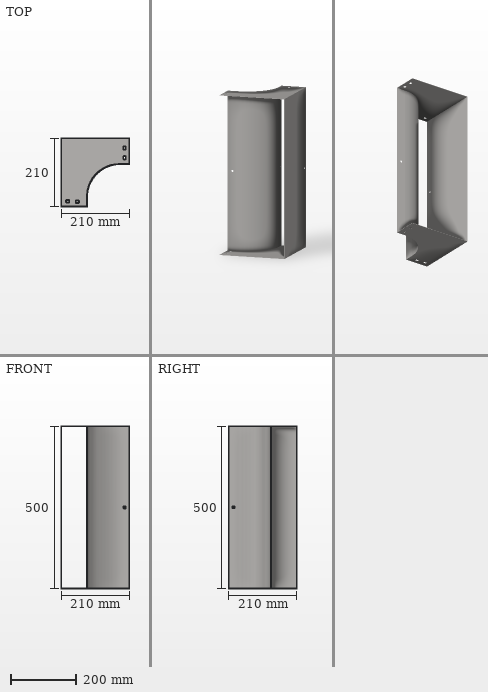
import cadquery as cq

side = 210.0
height = 500.0
sheet = 1.0
leg_width = 80.0
bend_radius = 100.0

end_setback = 15.0
corner_slot_setback = 16.5
slot_length = 10.0
slot_width = 7.0
slot_offset = 20.0
slot_pitch = 30.0
outer_hole_diameter = 7.0
inner_hole_diameter = 5.0

inner_y = side - leg_width
straight = inner_y - bend_radius


def elbow_prism(width, prism_height):
    """Solid elbow whose two legs are joined by a concave quarter-round.

    The outer corner is at X = 0, Y = side; width is measured from there.
    """
    near_y = side - width
    bend_center = (leg_width + bend_radius, straight)
    radius = bend_center[0] - width
    return (
        cq.Workplane("XY")
        .moveTo(0, 0)
        .lineTo(width, 0)
        .lineTo(width, straight)
        .radiusArc((bend_center[0], near_y), radius)
        .lineTo(side, near_y)
        .lineTo(side, side)
        .lineTo(0, side)
        .close()
        .extrude(prism_height)
    )


def slot_cutter(x, y, length_along_x, length_along_y):
    """Vertical flat-sided round slot through both the top and bottom plates."""
    round_hole = cq.Workplane("XY").center(x, y).circle(slot_length / 2).extrude(height)
    flat_sides = (
        cq.Workplane("XY")
        .center(x, y)
        .rect(length_along_x, length_along_y)
        .extrude(height)
    )
    return round_hole.intersect(flat_sides)


def hole_along_x(start_x, diameter):
    """Mid-height hole through a sheet facing X."""
    return (
        cq.Workplane("YZ", origin=(start_x, end_setback, height / 2))
        .circle(diameter / 2)
        .extrude(sheet)
    )


def hole_along_y(start_y, diameter):
    """Mid-height hole through a sheet facing Y."""
    return (
        cq.Workplane("XZ", origin=(side - end_setback, start_y + sheet, height / 2))
        .circle(diameter / 2)
        .extrude(sheet)
    )


bottom_plate = elbow_prism(leg_width, sheet)
top_plate = bottom_plate.translate((0, 0, height - sheet))
outer_wall = cq.Workplane("XY").box(sheet, side, height, centered=False)
inner_wall = elbow_prism(leg_width, height).cut(elbow_prism(leg_width - sheet, height))
result = bottom_plate.union(top_plate).union(outer_wall).union(inner_wall)

for index in range(2):
    across_leg = slot_offset + index * slot_pitch
    setback = corner_slot_setback if index == 0 else end_setback
    result = result.cut(slot_cutter(across_leg, setback, slot_length, slot_width))
    result = result.cut(
        slot_cutter(side - end_setback, inner_y + across_leg, slot_width, slot_length)
    )

result = result.cut(hole_along_x(0, outer_hole_diameter))
result = result.cut(hole_along_x(leg_width - sheet, inner_hole_diameter))
result = result.cut(hole_along_y(inner_y, outer_hole_diameter))